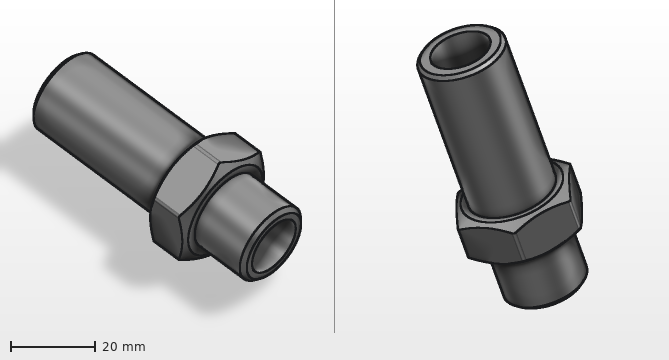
import cadquery as cq
import math

total_length = 69.5
tube_length = 41.5
hex_width = 12.0
tube_chamfer = 1.0
spigot_chamfer = 1.2

tube_diameter = 22.0
spigot_diameter = 21.0
bore_diameter = 15.0
across_flats = 28.0
corner_rounding = 1.0
hex_face_diameter = 25.5
hex_chamfer_angle = 30.0


def round_bar(start, length, diameter):
    """Solid cylinder along +X starting at the given X position."""
    return cq.Workplane("YZ", origin=(start, 0, 0)).circle(diameter / 2).extrude(length)


def hexagon():
    """Hexagon with corners on +/-Z, with rounded edges and chamfered ends."""
    sharp_corner_diameter = across_flats / math.cos(math.radians(30))
    prism = (
        cq.Workplane("YZ", origin=(tube_length, 0, 0))
        .transformed(rotate=(0, 0, 90))
        .polygon(6, sharp_corner_diameter)
        .extrude(hex_width)
        .edges("|X")
        .fillet(corner_rounding)
    )
    face_radius = hex_face_diameter / 2
    corner_radius = sharp_corner_diameter / 2
    chamfer_depth = (corner_radius - face_radius) * math.tan(math.radians(hex_chamfer_angle))
    hex_end = tube_length + hex_width
    chamfer_envelope = (
        cq.Workplane("XY")
        .polyline([
            (tube_length, 0),
            (tube_length, face_radius),
            (tube_length + chamfer_depth, corner_radius),
            (hex_end - chamfer_depth, corner_radius),
            (hex_end, face_radius),
            (hex_end, 0),
        ])
        .close()
        .revolve(360, (0, 0, 0), (1, 0, 0))
    )
    return prism.intersect(chamfer_envelope)


hex_middle = tube_length + hex_width / 2
tube = round_bar(0, hex_middle, tube_diameter).faces("<X").chamfer(tube_chamfer)
spigot = round_bar(hex_middle, total_length - hex_middle, spigot_diameter)
spigot = spigot.faces(">X").chamfer(spigot_chamfer)

bore = round_bar(0, total_length, bore_diameter)

result = hexagon().union(tube).union(spigot).cut(bore)